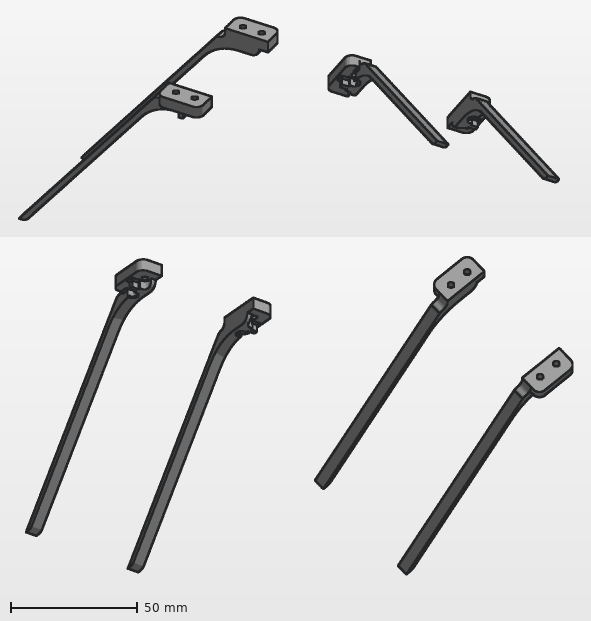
import cadquery as cq
import math

total_length = 85.25
total_width = 64.5
total_height = 84.0

plate_length = 19.6
plate_width = 10.0
plate_thickness = 5.0
plate_corner_radius = 3.15
plate_start_x = total_length - plate_length
plate_bottom_z = total_height - plate_thickness
inner_face_y = total_width / 2 - plate_width

hole_diameter = 2.5
hole_spacing = 8.5
first_hole_offset = 5.7
hole_inset = 4.35
clearance_diameter = 4.8
first_hole_x = plate_start_x + first_hole_offset
hole_y = inner_face_y + hole_inset

leg_width = 5.0
leg_thickness = 2.5
shoulder_x = 61.5
shoulder_z = 78.3
leg_angle = math.atan2(shoulder_z, shoulder_x)
tip_radius = 4.0
underside_radius = 20.0
web_depth = 3.75
web_end_x = total_length - 4.0
web_bottom_z = plate_bottom_z - web_depth

neck_radius = 3.0
neck_start_x = 63.8
neck_center_x = plate_start_x - neck_radius
neck_center_z = plate_bottom_z + neck_radius
crown_x = 62.6
crown_z = 78.85

rib_length = 2.0
rib_reach = 8.1
rib_x = first_hole_x + hole_spacing / 2
chamfer = 0.8


def neck_z(x):
    """Height of the concave neck arc at x."""
    return neck_center_z - math.sqrt(neck_radius**2 - (x - neck_center_x) ** 2)


def lower_edge_x(z):
    """X of the straight lower edge of the leg at height z."""
    return z / math.tan(leg_angle) + leg_thickness / math.sin(leg_angle)


def make_plate():
    return (
        cq.Workplane("XY", origin=(plate_start_x, inner_face_y, plate_bottom_z))
        .rect(plate_length, plate_width, centered=False)
        .extrude(plate_thickness)
        .edges("|Z and >Y")
        .fillet(plate_corner_radius)
    )


def make_leg():
    """Leg, neck and web as one side profile, extruded outward from the inner face."""
    tip_corner_x = lower_edge_x(0)
    bend_x = lower_edge_x(web_bottom_z)
    neck_middle_x = (neck_start_x + plate_start_x) / 2
    leg = (
        cq.Workplane("XZ", origin=(0, inner_face_y, 0))
        .moveTo(0, 0)
        .lineTo(shoulder_x, shoulder_z)
        .threePointArc((crown_x, crown_z), (neck_start_x, neck_z(neck_start_x)))
        .threePointArc((neck_middle_x, neck_z(neck_middle_x)), (plate_start_x, neck_center_z))
        .lineTo(web_end_x, neck_center_z)
        .lineTo(web_end_x, plate_bottom_z)
        .radiusArc((web_end_x - web_depth, web_bottom_z), web_depth)
        .lineTo(bend_x, web_bottom_z)
        .lineTo(tip_corner_x, 0)
        .close()
        .extrude(-leg_width)
    )
    middle_y = inner_face_y + leg_width / 2
    tip_edge = cq.selectors.NearestToPointSelector((tip_corner_x, middle_y, 0))
    bend_edge = cq.selectors.NearestToPointSelector((bend_x, middle_y, web_bottom_z))
    return leg.edges(tip_edge).fillet(tip_radius).edges(bend_edge).fillet(underside_radius)


def make_rib():
    """Rib with a chamfered root where it meets the plate."""
    rib = (
        cq.Workplane("XY", origin=(rib_x, inner_face_y + rib_reach / 2, web_bottom_z))
        .rect(rib_length, rib_reach)
        .extrude(web_depth)
    )
    root = (
        cq.Workplane("XY", origin=(rib_x, inner_face_y + rib_reach / 2, plate_bottom_z))
        .rect(rib_length + 2 * chamfer, rib_reach + 2 * chamfer)
        .extrude(-chamfer, taper=45)
    )
    inner_side = cq.Workplane("XY").box(
        total_length, inner_face_y, total_height, centered=False
    )
    return rib.union(root.cut(inner_side))


def make_web_chamfer():
    """Triangular strip in the corner between the plate and the side of the web."""
    side_y = inner_face_y + leg_width
    return (
        cq.Workplane("YZ", origin=(plate_start_x, 0, 0))
        .moveTo(side_y, plate_bottom_z)
        .lineTo(side_y + chamfer, plate_bottom_z)
        .lineTo(side_y, plate_bottom_z - chamfer)
        .close()
        .extrude(web_end_x - plate_start_x)
    )


def make_bracket():
    bracket = make_plate().union(make_leg()).union(make_rib()).union(make_web_chamfer())
    hole_places = [(first_hole_x, hole_y), (first_hole_x + hole_spacing, hole_y)]
    holes = cq.Workplane("XY").pushPoints(hole_places).circle(hole_diameter / 2).extrude(total_height)
    clearances = (
        cq.Workplane("XY")
        .workplane(offset=web_bottom_z)
        .pushPoints(hole_places)
        .circle(clearance_diameter / 2)
        .extrude(web_depth)
    )
    return bracket.cut(holes).cut(clearances)


bracket = make_bracket()
mirrored_bracket = bracket.mirror("XZ")

result = cq.Compound.makeCompound([bracket.val(), mirrored_bracket.val()])